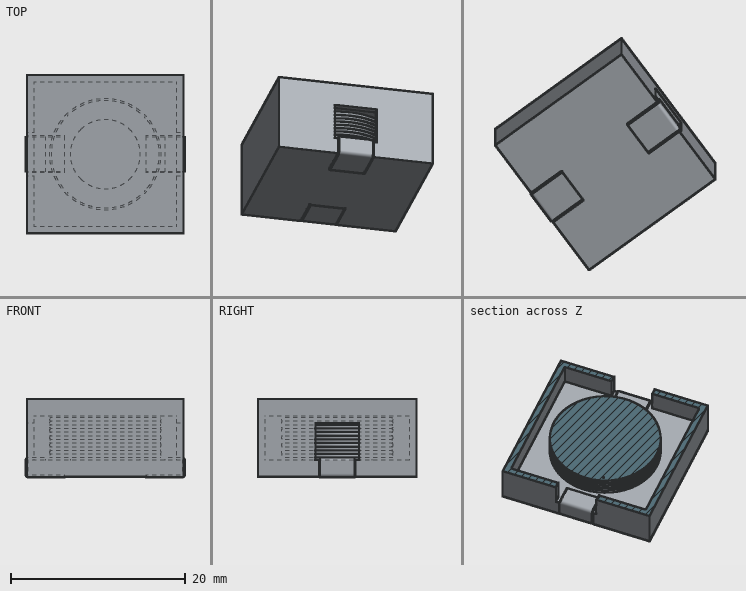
import cadquery as cq

body_length = 18.0
body_width = 18.2
overall_height = 9.01
standoff = 0.06

wall = 0.8
cavity_floor = 2.0
cavity_top = 7.05
cavity_height = cavity_top - cavity_floor

window_width = 5.0
window_top = 6.22

overall_length = 18.3
strip_width = 4.0
strip_thickness = 0.3
bend_radius = 0.4
inner_bend_radius = bend_radius - strip_thickness
foot_length = 4.5
tab_length = 2.3
strip_top = cavity_floor + strip_thickness
strip_outer_x = -overall_length / 2

side_clearance = 0.12
groove_width = strip_width + 2 * side_clearance

coil_radius = 6.4
coil_bore_radius = 4.0
turn_pitch = 0.42
turn_count = 11
coil_bottom = 2.26
turn_bulge = turn_pitch / 2


def box_between(x_start, x_end, width, z_start, z_end):
    """Box centred on Y = 0 between two X and two Z positions."""
    return (
        cq.Workplane("XY", origin=((x_start + x_end) / 2, 0, z_start))
        .box(x_end - x_start, width, z_end - z_start, centered=(True, True, False))
    )


def make_housing():
    """Hollow box with a window through each end wall."""
    outer = box_between(-body_length / 2, body_length / 2, body_width, standoff, overall_height)
    cavity = box_between(
        -body_length / 2 + wall,
        body_length / 2 - wall,
        body_width - 2 * wall,
        cavity_floor,
        cavity_top,
    )
    windows = box_between(-body_length / 2, body_length / 2, window_width, cavity_floor, window_top)
    return outer.cut(cavity).cut(windows)


def make_groove():
    """Clearance for one terminal: up the end wall and along the underside."""
    inner_x = strip_outer_x + strip_thickness
    upright = box_between(strip_outer_x, inner_x, groove_width, 0, cavity_floor)
    underside = box_between(strip_outer_x, strip_outer_x + foot_length, groove_width, 0, strip_thickness)
    return upright.union(underside)


def make_terminal():
    """C-shaped strip at the -X end: tab on the cavity floor, upright and foot."""
    inner_x = strip_outer_x + strip_thickness
    tab_end_x = strip_outer_x + tab_length
    foot_end_x = strip_outer_x + foot_length
    profile = (
        cq.Workplane("XZ", origin=(0, strip_width / 2, 0))
        .moveTo(tab_end_x, strip_top)
        .lineTo(strip_outer_x + bend_radius, strip_top)
        .radiusArc((strip_outer_x, strip_top - bend_radius), -bend_radius)
        .lineTo(strip_outer_x, bend_radius)
        .radiusArc((strip_outer_x + bend_radius, 0), -bend_radius)
        .lineTo(foot_end_x, 0)
        .lineTo(foot_end_x, strip_thickness)
        .lineTo(inner_x + inner_bend_radius, strip_thickness)
        .radiusArc((inner_x, strip_thickness + inner_bend_radius), inner_bend_radius)
        .lineTo(inner_x, cavity_floor - inner_bend_radius)
        .radiusArc((inner_x + inner_bend_radius, cavity_floor), inner_bend_radius)
        .lineTo(tab_end_x, cavity_floor)
        .close()
    )
    return profile.extrude(strip_width)


def make_coil():
    """Scalloped ring, one half-round bulge per turn, on a full-height core."""
    valley_radius = coil_radius - turn_bulge
    profile = (
        cq.Workplane("XZ")
        .moveTo(coil_bore_radius, coil_bottom)
        .lineTo(valley_radius, coil_bottom)
    )
    for turn in range(turn_count):
        turn_bottom = coil_bottom + turn * turn_pitch
        profile = profile.threePointArc(
            (coil_radius, turn_bottom + turn_pitch / 2),
            (valley_radius, turn_bottom + turn_pitch),
        )
    profile = profile.lineTo(coil_bore_radius, coil_bottom + turn_count * turn_pitch).close()
    winding = profile.revolve(360, (0, 0, 0), (0, 1, 0))
    core = cq.Workplane("XY", origin=(0, 0, cavity_floor)).circle(coil_bore_radius).extrude(cavity_height)
    return winding.union(core)


groove = make_groove()
terminal = make_terminal()
housing = make_housing().cut(groove).cut(groove.mirror("YZ"))
result = housing.union(make_coil()).union(terminal).union(terminal.mirror("YZ"))